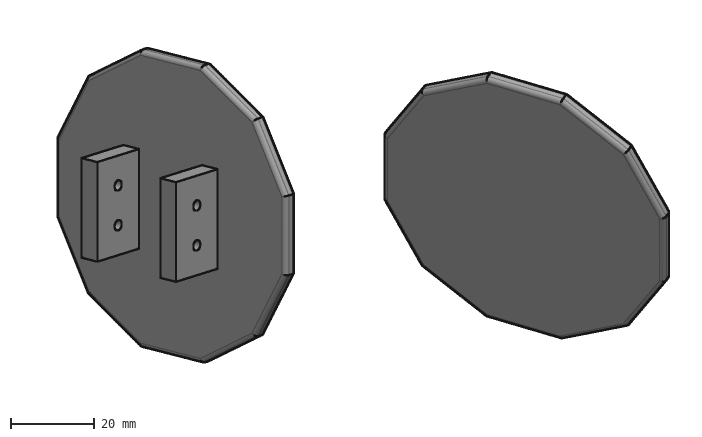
import cadquery as cq
import math

side_count = 12
across_flats = 74.55
plate_thickness = 3.7
edge_radius = 1.2

lug_width = 5.1
lug_length = 15.0
lug_height = 25.0
lug_gap = 20.4
lug_spacing = lug_gap + lug_width

hole_diameter = 2.5
hole_spacing = 10.0


def make_plate():
    """Dodecagon with flats facing X and Z, front face at Y = 0, rounded rims."""
    across_corners = across_flats / math.cos(math.pi / side_count)
    half_side_angle = 180 / side_count
    plate = (
        cq.Workplane("XZ")
        .transformed(rotate=(0, 0, half_side_angle))
        .polygon(side_count, across_corners)
        .extrude(-plate_thickness)
    )
    return plate.faces("<Y or >Y").edges().fillet(edge_radius)


def make_lugs():
    """Two lugs, each drilled along X at mid length."""
    lugs = (
        cq.Workplane("XZ")
        .rarray(lug_spacing, 0.75, 2, 1)
        .rect(lug_width, lug_height)
        .extrude(lug_length)
    )
    drill_length = lug_spacing + 2 * lug_width
    drills = (
        cq.Workplane("YZ")
        .center(-lug_length / 2, 0)
        .rarray(0.75, hole_spacing, 1, 2)
        .circle(hole_diameter / 2)
        .extrude(drill_length / 2, both=True)
    )
    return lugs.cut(drills)


result = make_plate().union(make_lugs())